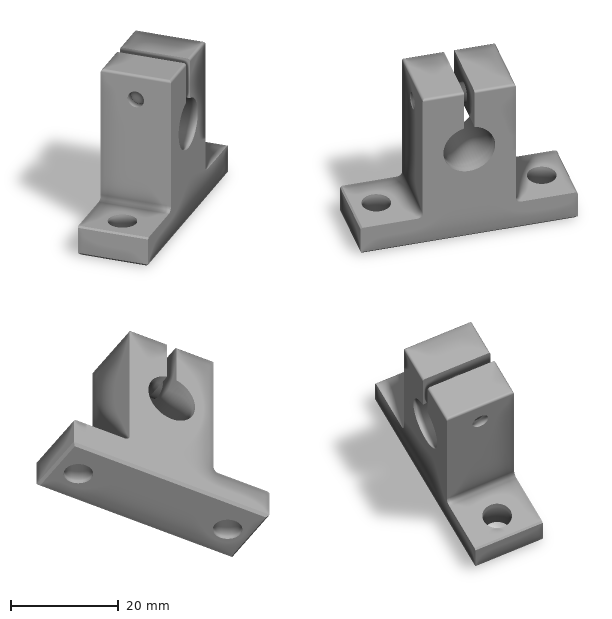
import cadquery as cq

width = 14.0
base_length = 42.0
base_height = 6.0
post_length = 18.0
total_height = 33.0

edge_break = 0.5
front_toe_chamfer = 0.315
root_radius = 1.0

bore_diameter = 10.0
bore_height = 20.0
slot_width = 2.0

screw_diameter = 4.0
tap_diameter = 3.25
screw_height = 28.0
tap_depth = 1.6
tip_chamfer = 0.13

mount_diameter = 5.5
mount_spacing = 32.0


def full_width_block(bottom, top, length):
    """Block as wide as the part, reaching from Z = bottom to Z = top."""
    return (
        cq.Workplane("XY")
        .workplane(offset=bottom)
        .box(width, length, top - bottom, centered=(True, True, False))
    )


def rod_along_y(diameter, start, end):
    """Cylinder along Y at screw height, reaching from Y = start to Y = end."""
    center = cq.Vector(0, start, screw_height)
    axis = cq.Vector(0, 1, 0)
    return cq.Workplane(cq.Solid.makeCylinder(diameter / 2, end - start, center, axis))


def make_body():
    """Base and post with broken outer edges and filleted post roots."""
    base = full_width_block(0, base_height, base_length)
    base = base.faces("<Z").edges().chamfer(edge_break)
    base = base.faces(">Z").edges(">Y").fillet(edge_break)
    base = base.faces(">Z").edges("<Y").chamfer(front_toe_chamfer)

    post = full_width_block(base_height / 2, total_height, post_length)
    post = post.faces(">Z").edges().fillet(edge_break)

    margin = root_radius / 2
    root_corners = cq.selectors.BoxSelector(
        (-width, -post_length / 2 - margin, base_height - margin),
        (width, post_length / 2 + margin, base_height + margin),
    )
    return base.union(post).edges("|X").edges(root_corners).fillet(root_radius)


def make_clamp_opening():
    """Cutter for the shaft bore and the slot that opens it to the top."""
    bore = (
        cq.Workplane("YZ")
        .center(0, bore_height)
        .circle(bore_diameter / 2)
        .extrude(width / 2, both=True)
    )
    slot = full_width_block(bore_height, total_height, slot_width)
    return bore.union(slot)


def make_mounting_holes():
    """Cutter for the two through holes in the flanges."""
    return (
        cq.Workplane("XY")
        .rarray(0.4, mount_spacing, 1, 2)
        .circle(mount_diameter / 2)
        .extrude(base_height)
    )


def make_screw():
    """Exposed lengths of the clamp screw: its chamfered tip and its shank across the slot."""
    tip = rod_along_y(tap_diameter, tap_bottom - tip_chamfer, tap_bottom + tip_chamfer)
    tip = tip.faces("<Y").edges().chamfer(tip_chamfer)
    shank = rod_along_y(screw_diameter, -slot_width / 2, slot_width / 2)
    return tip.union(shank)


post_front = -post_length / 2
tap_bottom = post_front + tap_depth
tapped_hole = rod_along_y(tap_diameter, post_front, tap_bottom)

result = (
    make_body()
    .cut(make_clamp_opening())
    .cut(make_mounting_holes())
    .cut(tapped_hole)
    .union(make_screw())
)